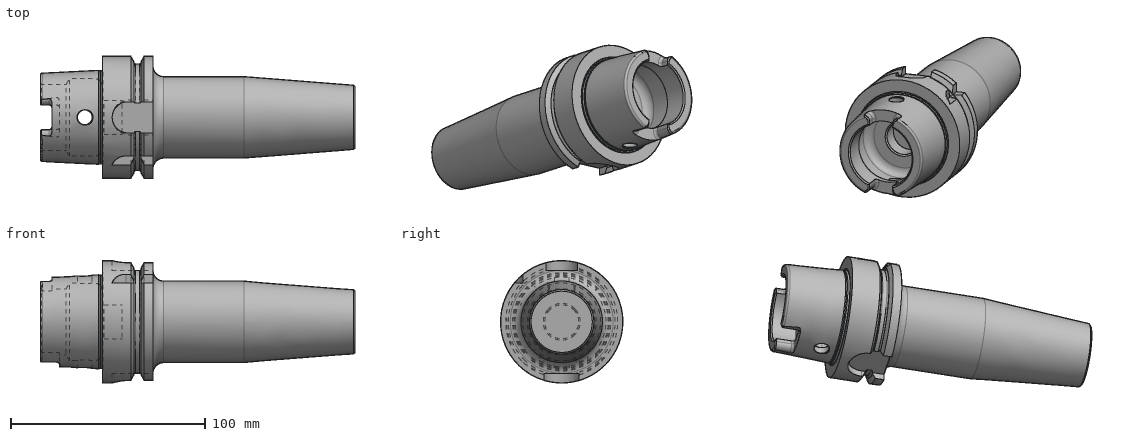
import cadquery as cq
import math


shank_length = 32.0
taper_ratio = 1 / 9.98
gauge_diameter = 48.01
gauge_offset = 6.3
mouth_rounding = 1.1
relief_width = 2.0
relief_depth = 0.25
relief_ramp = 0.7
face_recess_radius = 25.3
face_recess_depth = 0.3

flange_radius = 31.5
flange_width = 26.0
groove_centre = 18.0
groove_mouth_half_width = 3.45
groove_half_angle = 30.0
groove_neck_half_width = 1.9
groove_root_radius = 27.5
groove_fillet = 0.8

body_radius = 21.0
body_fillet = 5.5
nose_end = 130.0
nose_length = 57.3
nose_half_angle = 4.5
nose_chamfer = 0.8

bore_radius = 17.0
bore_chamfer = 0.75
bore_end = -18.7
cavity_radius = 20.0
shoulder_half_angle = 60.0
floor_x = 0.0
floor_fillet = 4.3
coolant_radius = 8.75
coolant_chamfer = 0.75
coolant_depth = 10.0

access_diameter = 7.6
access_chamfer = 0.4
access_x = -9.1

drive_half_width = 6.27
drive_shelf_height = 20.8
drive_flank_radius = 3.0
drive_floor_fillet = 1.5
drive_mouth_chamfer = 0.6
upper_drive_depth = 6.0
lower_drive_depth = 10.0

gripper_start = 5.0
gripper_floor = 26.5
upper_gripper_width = 16.0
lower_gripper_width = 18.0
notch_floor = 19.85
notch_arc_radius = 8.0
notch_arc_x = 12.1

margin = 5.0


def taper_radius(x):
    """Shank radius at axial position x."""
    return (gauge_diameter - (-gauge_offset - x) * taper_ratio) / 2


def rotate_profile(profile):
    """Turn an (X, radius) profile into a solid of revolution about X."""
    return profile.close().revolve(360, (0, 0, 0), (1, 0, 0))


def turned_body():
    """Outside of the whole holder, with the flange still a plain cylinder."""
    nose_start = nose_end - nose_length
    nose_slope = math.tan(math.radians(nose_half_angle))
    nose_edge_x = nose_end - nose_chamfer
    nose_edge_radius = body_radius - (nose_edge_x - nose_start) * nose_slope
    relief_radius = taper_radius(-relief_width) - relief_depth
    recess_inner_radius = taper_radius(0)
    fillet_middle = body_fillet * (1 - math.sqrt(0.5))
    profile = (
        cq.Workplane("XY")
        .moveTo(-shank_length, 0)
        .lineTo(-shank_length, taper_radius(-shank_length))
        .lineTo(-relief_width, taper_radius(-relief_width))
        .lineTo(-relief_width + relief_ramp, relief_radius)
        .lineTo(-relief_ramp, relief_radius)
        .lineTo(face_recess_depth, recess_inner_radius)
        .lineTo(face_recess_depth, face_recess_radius - face_recess_depth)
        .lineTo(0, face_recess_radius)
        .lineTo(0, flange_radius)
        .lineTo(flange_width, flange_radius)
        .lineTo(flange_width, body_radius + body_fillet)
        .threePointArc(
            (flange_width + fillet_middle, body_radius + fillet_middle),
            (flange_width + body_fillet, body_radius),
        )
        .lineTo(nose_start, body_radius)
        .lineTo(nose_edge_x, nose_edge_radius)
        .lineTo(nose_end, nose_edge_radius - nose_chamfer)
        .lineTo(nose_end, 0)
    )
    return rotate_profile(profile).faces("<X").edges().fillet(mouth_rounding)


def gripper_groove():
    """V groove around the flange, ending in a narrow neck with rounded root corners."""
    slope = math.tan(math.radians(groove_half_angle))
    neck_radius = flange_radius - (groove_mouth_half_width - groove_neck_half_width) / slope
    outer_radius = flange_radius + margin
    outer_half_width = groove_mouth_half_width + margin * slope
    profile = (
        cq.Workplane("XY")
        .moveTo(groove_centre - outer_half_width, outer_radius)
        .lineTo(groove_centre - groove_neck_half_width, neck_radius)
        .lineTo(groove_centre - groove_neck_half_width, groove_root_radius)
        .lineTo(groove_centre + groove_neck_half_width, groove_root_radius)
        .lineTo(groove_centre + groove_neck_half_width, neck_radius)
        .lineTo(groove_centre + outer_half_width, outer_radius)
    )
    root = cq.selectors.RadiusNthSelector(0)
    return rotate_profile(profile).edges(root).fillet(groove_fillet)


def clamping_cavity():
    """Bore that widens behind a shoulder, with a blind coolant hole in its floor."""
    shoulder_length = (cavity_radius - bore_radius) / math.tan(math.radians(shoulder_half_angle))
    fillet_middle = floor_fillet * (1 - math.sqrt(0.5))
    profile = (
        cq.Workplane("XY")
        .moveTo(-shank_length, 0)
        .lineTo(-shank_length, bore_radius + bore_chamfer)
        .lineTo(-shank_length + bore_chamfer, bore_radius)
        .lineTo(bore_end, bore_radius)
        .lineTo(bore_end + shoulder_length, cavity_radius)
        .lineTo(floor_x - floor_fillet, cavity_radius)
        .threePointArc(
            (floor_x - fillet_middle, cavity_radius - fillet_middle),
            (floor_x, cavity_radius - floor_fillet),
        )
        .lineTo(floor_x, coolant_radius + coolant_chamfer)
        .lineTo(floor_x + coolant_chamfer, coolant_radius)
        .lineTo(floor_x + coolant_depth, coolant_radius)
        .lineTo(floor_x + coolant_depth, 0)
    )
    return rotate_profile(profile)


def access_holes():
    """One radial hole through both shank walls, chamfered at the outside."""
    surface = taper_radius(access_x)
    radius = access_diameter / 2
    rim = radius + access_chamfer
    half = (
        cq.Workplane("XZ")
        .polyline([
            (0, 0),
            (radius, 0),
            (radius, surface - access_chamfer),
            (rim, surface),
            (rim, surface + margin),
            (0, surface + margin),
        ])
        .close()
        .revolve(360, (0, 0, 0), (0, 1, 0))
    )
    both = half.union(half.mirror("XY"))
    return both.translate((access_x, 0, 0))


def drive_outline(x, growth):
    """Drive slot outline at position x, enlarged all round by growth.

    The flanks are parallel and round out to a flat shelf on either side.
    """
    half_width = drive_half_width + growth
    shelf_height = drive_shelf_height - growth
    arc_radius = drive_flank_radius
    shelf_start = half_width + arc_radius
    shelf_end = shelf_start + margin
    top = gauge_diameter / 2 + margin
    arc_middle = arc_radius * (1 - math.sqrt(0.5))
    arc_y = half_width + arc_middle
    arc_z = shelf_height - arc_middle
    flank_top = shelf_height - arc_radius
    return (
        cq.Workplane("YZ", origin=(x, 0, 0))
        .moveTo(-half_width, 0)
        .lineTo(half_width, 0)
        .lineTo(half_width, flank_top)
        .threePointArc((arc_y, arc_z), (shelf_start, shelf_height))
        .lineTo(shelf_end, shelf_height)
        .lineTo(shelf_end, top)
        .lineTo(-shelf_end, top)
        .lineTo(-shelf_end, shelf_height)
        .lineTo(-shelf_start, shelf_height)
        .threePointArc((-arc_y, arc_z), (-half_width, flank_top))
        .close()
    )


def drive_slot(depth):
    """Slot from the shank mouth with a filleted floor and a chamfered entry."""
    slot = drive_outline(-shank_length, 0).extrude(depth)
    shelf_limit = drive_half_width + drive_flank_radius + margin / 2
    flanks = cq.selectors.BoxSelector(
        (-shank_length, -shelf_limit, drive_half_width),
        (0, shelf_limit, gauge_diameter / 2),
    )
    flank_and_shelf = slot.faces(">X").edges(flanks)
    return flank_and_shelf.fillet(drive_floor_fillet).union(drive_entry())


def drive_entry():
    """Chamfered lead-in of a drive slot at the shank mouth."""
    mouth = drive_outline(-shank_length, drive_mouth_chamfer).wires().val()
    inner = drive_outline(-shank_length + drive_mouth_chamfer, 0).wires().val()
    return cq.Workplane(cq.Solid.makeLoft([mouth, inner], True))


def gripper_slot(width):
    """Flat-floored slot with a half-round end, open towards the nose."""
    radius = width / 2
    arc_x = gripper_start + radius
    return (
        cq.Workplane("XY", origin=(0, 0, gripper_floor))
        .moveTo(flange_width, radius)
        .lineTo(arc_x, radius)
        .threePointArc((gripper_start, 0), (arc_x, -radius))
        .lineTo(flange_width, -radius)
        .close()
        .extrude(flange_radius)
    )


def orientation_notch():
    """Square-cornered notch on the -Y +Z side with a rounded run-out."""
    arc_end = -notch_floor - notch_arc_radius
    middle = notch_arc_radius * math.sqrt(0.5)
    outer = -flange_radius - margin
    return (
        cq.Workplane("XY", origin=(0, 0, notch_floor))
        .moveTo(flange_width, -notch_floor)
        .lineTo(notch_arc_x, -notch_floor)
        .threePointArc(
            (notch_arc_x - middle, arc_end + middle),
            (notch_arc_x - notch_arc_radius, arc_end),
        )
        .lineTo(notch_arc_x - notch_arc_radius, outer)
        .lineTo(flange_width, outer)
        .close()
        .extrude(flange_radius)
    )


result = (
    turned_body()
    .cut(gripper_groove())
    .cut(clamping_cavity())
    .cut(access_holes())
    .cut(drive_slot(upper_drive_depth))
    .cut(drive_slot(lower_drive_depth).rotate((0, 0, 0), (1, 0, 0), 180))
    .cut(gripper_slot(upper_gripper_width))
    .cut(gripper_slot(lower_gripper_width).rotate((0, 0, 0), (1, 0, 0), 180))
    .cut(orientation_notch())
)